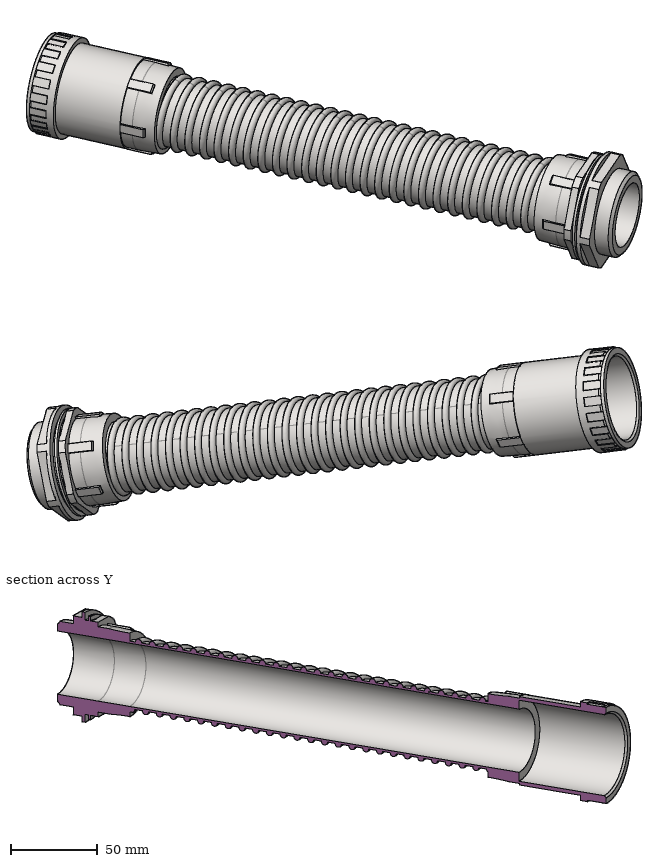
import cadquery as cq
import math

length = 360.0
bore_radius = 19.0

socket_bore_radius = 24.4
socket_radius = 26.9
mouth_radius = 25.6
mouth_chamfer_length = 1.2
socket_end = 57.0
grip_length = 17.0
grip_radius = 30.0
grip_floor_radius = 29.2
grip_land_start = 2.0
grip_lead_in = 1.0
grip_slot_length = 12.4
grip_slot_count = 20
grip_slot_angle = 10.0

sleeve_length = 20.7
sleeve_radius = 26.0
sleeve_tip_radius = 25.4
sleeve_straight_length = 7.2
key_count = 6
key_length = 15.2
key_width = 5.6
key_top_radius = socket_radius
key_end_chamfer = 0.8
key_root_radius = 23.0

hose_root_radius = 20.6
rib_crest_radius = 22.6
rib_width = 4.2
rib_exposed_turns = 26
rib_top_position = 81.1
rib_embedding = 0.5

cap_nut_start = 333.1
cap_nut_end = 337.4
cap_nut_radius = 31.3
cap_nut_flats = 2 * 28.7
washer_start = 338.3
washer_end = 339.8
washer_radius = cap_nut_radius
neck_radius = 28.7
flange_start = 341.7
flange_end = 344.0
flange_radius = 33.4
flange_nut_end = 349.8
flange_nut_flats = 2 * grip_radius
spigot_radius = 25.4
tip_radius = 23.5
tip_chamfer_length = 1.8

socket_sleeve_end = socket_end + sleeve_length
fitting_sleeve_start = cap_nut_start - sleeve_length
rib_pitch = (fitting_sleeve_start - socket_sleeve_end) / rib_exposed_turns


def tube(x_start, x_end, outer_radius, inner_radius=bore_radius):
    """Round tube along X."""
    ring = cq.Workplane("YZ", origin=(x_start, 0, 0)).circle(outer_radius).circle(inner_radius)
    return ring.extrude(x_end - x_start)


def revolve_about_x(points):
    """Ring turned about X from (x, radius) points."""
    return cq.Workplane("XY").polyline(points).close().revolve(360, (0, 0, 0), (1, 0, 0))


def around_x(shape, count):
    """Equally spaced copies of a shape about X."""
    return [shape.rotate((0, 0, 0), (1, 0, 0), i * 360 / count) for i in range(count)]


def make_grip():
    """Collar on the socket mouth with slots open towards the end face."""
    collar = revolve_about_x([
        (0, mouth_radius),
        (0, grip_floor_radius),
        (grip_land_start, grip_floor_radius),
        (grip_land_start + grip_lead_in, grip_radius),
        (grip_length, grip_radius),
        (grip_length, socket_bore_radius),
        (mouth_chamfer_length, socket_bore_radius),
    ])
    slot_width = 2 * grip_radius * math.sin(math.radians(grip_slot_angle / 2))
    slot_depth = grip_radius - grip_floor_radius
    slot = cq.Workplane("XY").box(grip_slot_length, 2 * slot_depth, slot_width, centered=(False, False, True))
    slot = slot.translate((0, grip_floor_radius, 0))
    for cutter in around_x(slot, grip_slot_count):
        collar = collar.cut(cutter)
    return collar


def make_socket():
    """Wide socket that receives a pipe, with its grip collar."""
    return tube(mouth_chamfer_length, socket_end, socket_radius, socket_bore_radius).union(make_grip())


def make_sleeve():
    """Keyed sleeve with its wide end at X = 0, tapering towards +X."""
    sleeve = revolve_about_x([
        (0, bore_radius),
        (0, sleeve_radius),
        (sleeve_straight_length, sleeve_radius),
        (sleeve_length, sleeve_tip_radius),
        (sleeve_length, bore_radius),
    ])
    key = (
        cq.Workplane("XY")
        .moveTo(0, key_root_radius)
        .lineTo(0, key_top_radius)
        .lineTo(key_length - key_end_chamfer, key_top_radius)
        .lineTo(key_length, sleeve_radius)
        .lineTo(key_length, key_root_radius)
        .close()
        .extrude(key_width / 2, both=True)
    )
    for copy in around_x(key, key_count):
        sleeve = sleeve.union(copy)
    return sleeve


def make_rib_turns():
    """Turns of the left-handed helical rib, joined end to end, the outer ends buried in the sleeves."""
    start = rib_top_position - rib_pitch
    turn_count = math.ceil((fitting_sleeve_start + rib_width / 2 - start) / rib_pitch)
    helix = cq.Wire.makeHelix(rib_pitch, rib_pitch, hose_root_radius, lefthand=True)
    base_radius = hose_root_radius - rib_embedding
    turn = (
        cq.Workplane("XZ")
        .moveTo(base_radius, -rib_width / 2)
        .threePointArc((rib_crest_radius, 0), (base_radius, rib_width / 2))
        .close()
        .sweep(cq.Workplane(obj=helix), isFrenet=True)
    )
    turn = turn.rotate((0, 0, 0), (0, 1, 0), 90).rotate((0, 0, 0), (1, 0, 0), 180)
    return [turn.translate((start + i * rib_pitch, 0, 0)) for i in range(turn_count)]


def make_nut(x_start, x_end, across_flats, corner_radius):
    """Hexagon with flats facing +Z and -Z and corners rounded to a cylinder."""
    across_corners = across_flats / math.cos(math.pi / 6)
    hexagon = (
        cq.Workplane("YZ", origin=(x_start, 0, 0))
        .polygon(6, across_corners)
        .circle(bore_radius)
        .extrude(x_end - x_start)
    )
    return hexagon.intersect(tube(x_start, x_end, corner_radius))


def make_fitting():
    """Cap nut, washer, flanged nut and chamfered spigot."""
    spigot = revolve_about_x([
        (flange_nut_end, bore_radius),
        (flange_nut_end, spigot_radius),
        (length - tip_chamfer_length, spigot_radius),
        (length, tip_radius),
        (length, bore_radius),
    ])
    return (
        make_nut(cap_nut_start, cap_nut_end, cap_nut_flats, cap_nut_radius)
        .union(tube(cap_nut_end, flange_start, neck_radius))
        .union(tube(washer_start, washer_end, washer_radius))
        .union(tube(flange_start, flange_end, flange_radius))
        .union(make_nut(flange_end, flange_nut_end, flange_nut_flats, flange_radius))
        .union(spigot)
    )


socket_sleeve = make_sleeve().translate((socket_end, 0, 0))
fitting_sleeve = make_sleeve().mirror("YZ").translate((cap_nut_start, 0, 0))
hose_wall = tube(socket_sleeve_end, fitting_sleeve_start, hose_root_radius)

smooth_body = (
    make_socket()
    .union(socket_sleeve)
    .union(hose_wall)
    .union(fitting_sleeve)
    .union(make_fitting())
)
rib_turns = [turn.val() for turn in make_rib_turns()]

result = cq.Workplane(obj=smooth_body.val().fuse(*rib_turns)).solids()